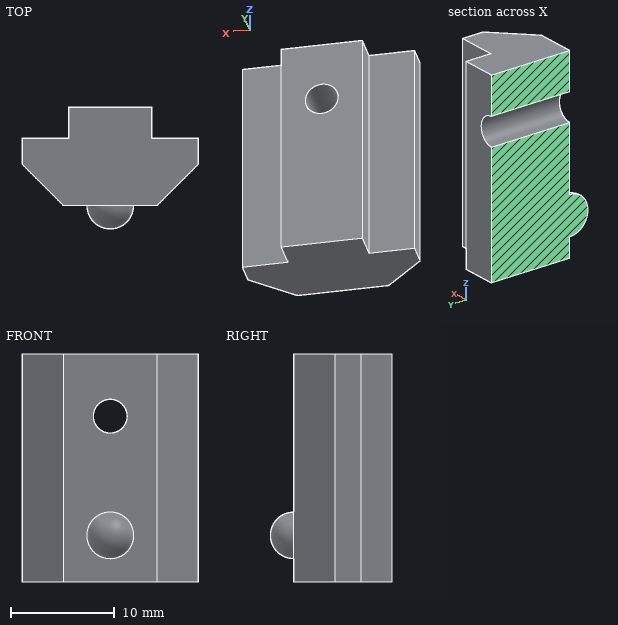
import cadquery as cq

length = 22.0
flange_width = 17.0
stem_width = 8.0
stem_depth = 3.0
flange_edge_depth = 2.5
bevel = 4.0
hole_diameter = 3.23
hole_height = 16.0
ball_diameter = 4.5
ball_height = 4.5

flange_back = bevel + flange_edge_depth
stem_back = flange_back + stem_depth


def make_body():
    """T-slot nut profile extruded along Z."""
    half_flange = flange_width / 2
    half_stem = stem_width / 2
    half_front = half_flange - bevel
    right_half = [
        (half_front, 0),
        (half_flange, bevel),
        (half_flange, flange_back),
        (half_stem, flange_back),
        (half_stem, stem_back),
    ]
    left_half = [(-x, y) for x, y in reversed(right_half)]
    return cq.Workplane("XY").polyline(right_half + left_half).close().extrude(length)


def make_hole():
    """Screw hole running through the nut from front to back."""
    return (
        cq.Workplane("XZ")
        .center(0, hole_height)
        .circle(hole_diameter / 2)
        .extrude(-stem_back)
    )


def make_ball():
    """Spring ball centred on the front face, so half of it stands proud."""
    return cq.Workplane("XY").sphere(ball_diameter / 2).translate((0, 0, ball_height))


result = make_body().cut(make_hole()).union(make_ball())